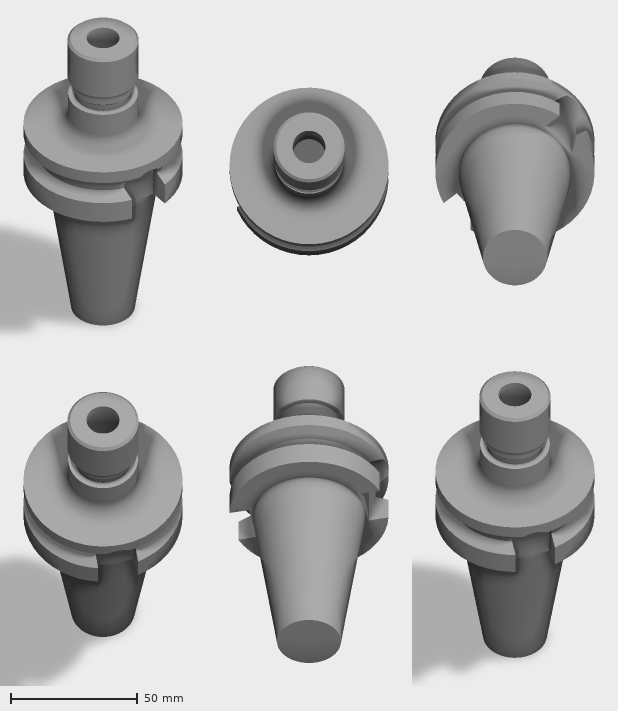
import cadquery as cq

total_height = 135.4

gauge_height = 65.4
gauge_radius = 22.2
taper_ratio = 7 / 24
shank_end_radius = gauge_radius - gauge_height * taper_ratio / 2

flange_radius = 31.48
groove_radius = 26.4
flange_bottom = 67.4
lower_rim_top = 76.9
groove_bottom = 79.5
groove_top = 84.5
upper_rim_bottom = 87.0
flange_top = 92.5

shoulder_radius = 13.8
shoulder_top = 107.5
shoulder_fillet = 4.9
neck_radius = 11.2
collar_radius = 12.0
collar_chamfer = 0.8
collar_bottom = 110.4
head_radius = 14.1
head_bottom = 116.6
head_chamfer = 1.1
bore_radius = 6.5
bore_depth = total_height - head_bottom

slot_width = 16.1
slot_floor = 22.6
slot_top = 88.5


def make_body():
    """Revolve the half profile, given as radius and height, about Z."""
    return (
        cq.Workplane("XZ")
        .lineTo(shank_end_radius, 0)
        .lineTo(gauge_radius, gauge_height)
        .lineTo(gauge_radius, flange_bottom)
        .lineTo(flange_radius, flange_bottom)
        .lineTo(flange_radius, lower_rim_top)
        .lineTo(groove_radius, groove_bottom)
        .lineTo(groove_radius, groove_top)
        .lineTo(flange_radius, upper_rim_bottom)
        .lineTo(flange_radius, flange_top)
        .lineTo(shoulder_radius + shoulder_fillet, flange_top)
        .radiusArc((shoulder_radius, flange_top + shoulder_fillet), shoulder_fillet)
        .lineTo(shoulder_radius, shoulder_top)
        .lineTo(neck_radius, shoulder_top)
        .lineTo(neck_radius, collar_bottom)
        .lineTo(collar_radius, collar_bottom + collar_chamfer)
        .lineTo(collar_radius, head_bottom)
        .lineTo(head_radius, head_bottom)
        .lineTo(head_radius, total_height - head_chamfer)
        .lineTo(head_radius - head_chamfer, total_height)
        .lineTo(0, total_height)
        .close()
        .revolve(360, (0, 0, 0), (0, 1, 0))
    )


def make_drive_slot(side):
    """Round-topped cutter for the slot on the +X (side=1) or -X (side=-1) flank."""
    half_width = slot_width / 2
    arc_start = slot_top - half_width
    return (
        cq.Workplane("YZ", origin=(side * slot_floor, 0, 0))
        .moveTo(-half_width, flange_bottom)
        .lineTo(half_width, flange_bottom)
        .lineTo(half_width, arc_start)
        .threePointArc((0, slot_top), (-half_width, arc_start))
        .close()
        .extrude(side * (flange_radius - slot_floor))
    )


def make_bore():
    """Blind hole in the top of the head."""
    return (
        cq.Workplane("XY", origin=(0, 0, total_height - bore_depth))
        .circle(bore_radius)
        .extrude(bore_depth)
    )


result = make_body().cut(make_bore())
for side in (-1, 1):
    result = result.cut(make_drive_slot(side))